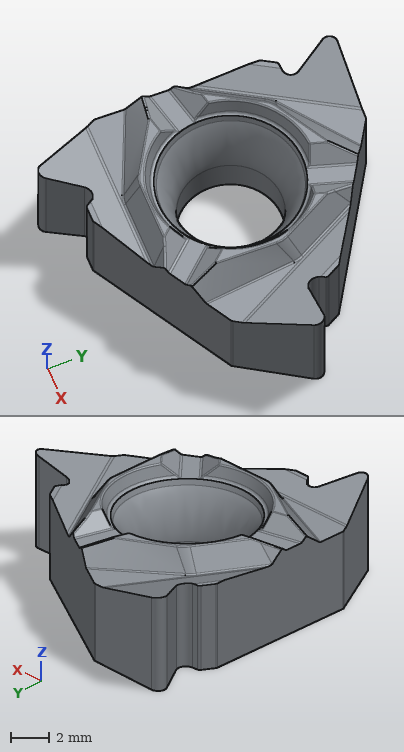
import cadquery as cq
import math

TOOTH_PITCH = 120
TOOTH_ANGLES = (0, TOOTH_PITCH, 2 * TOOTH_PITCH)

height = 5.85
side_distance = 6.37
side_angle = TOOTH_PITCH - 90
corner_radius = 0.2

tip_x = -3.87
tip_y = -9.28
tip_radius = 0.47
flank_angle = 28.5

relief_x = -2.03
relief_top_y = -6.99
shoulder_y = -7.58
shoulder_slope = 55
shoulder_land_y = -7.27

floor_z = 4.6
rake_start_y = -5.73
rake_angle = 15
rake_blend_radius = 0.6

foot_y = -5.57
rim_y = -4.65
foot_bend_x = -1.25
rim_bend_x = -1.45
foot_bend_angle = 22.3
rim_bend_angle = 30
bend_radius = 1.4
flare_foot_x = 3.15
flare_rim_x = 2.6
flare_angle = 7
foot_blend_radius = 0.14
rim_round = 0.1

groove_z = 5.08
groove_angle = 13.6
groove_width = 1.09
groove_wall_angle = 38
groove_blend_radius = 0.21

hole_radius = 5.7 / 2
seat_bottom_z = 1.98
seat_top_z = 4.78
seat_radius = 3.9
ledge_inner_radius = 4.03
ledge_outer_radius = 4.18
recess_rim_radius = 4.52
ledge_round = 0.21

reach = 10.5
clearance = 0.88


def turned(shape, angle):
    return shape.rotate((0, 0, 0), (0, 0, 1), angle)


def cosine(angle):
    return math.cos(math.radians(angle))


def sine(angle):
    return math.sin(math.radians(angle))


def tangent(angle):
    return math.tan(math.radians(angle))


def step(start, length, angle):
    """Point reached from start by going a length in a direction given in degrees."""
    return (start[0] + length * cosine(angle), start[1] + length * sine(angle))


def turn_point(point, angle):
    x, y = point
    return (x * cosine(angle) - y * sine(angle), x * sine(angle) + y * cosine(angle))


def make_tooth_points():
    """Outline points around the -Y tooth, from its left flank to the end of its shoulder."""
    tip_centre = (tip_x, tip_y + tip_radius)
    tip_left = step(tip_centre, tip_radius, 180 + flank_angle)
    tip_right = step(tip_centre, tip_radius, -flank_angle)
    flank_start_y = tip_left[1] + (tip_left[0] + side_distance) / tangent(flank_angle)

    peak_to_flank = ((relief_x - tip_right[0]) * cosine(flank_angle)
                     - (relief_top_y - tip_right[1]) * sine(flank_angle))
    relief_radius = peak_to_flank / (1 - sine(flank_angle))
    relief_centre = (relief_x, relief_top_y - relief_radius)
    relief_start = step(relief_centre, relief_radius, 180 - flank_angle)
    relief_end = step(relief_centre, relief_radius, 90 - shoulder_slope)

    shoulder_start_x = relief_end[0] + (relief_end[1] - shoulder_y) / tangent(shoulder_slope)
    shoulder_end_x = (side_distance + shoulder_y * cosine(side_angle)) / sine(side_angle)
    return {
        "flank_start": (-side_distance, flank_start_y),
        "tip_left": tip_left,
        "tip": (tip_x, tip_y),
        "tip_right": tip_right,
        "relief_start": relief_start,
        "relief_top": (relief_x, relief_top_y),
        "relief_end": relief_end,
        "shoulder_start": (shoulder_start_x, shoulder_y),
        "shoulder_end": (shoulder_end_x, shoulder_y),
    }


def make_body():
    tooth_points = make_tooth_points()
    outline = cq.Workplane("XY").moveTo(*tooth_points["flank_start"])
    for angle in TOOTH_ANGLES:
        p = {name: turn_point(point, angle) for name, point in tooth_points.items()}
        outline = (
            outline.lineTo(*p["tip_left"])
            .threePointArc(p["tip"], p["tip_right"])
            .lineTo(*p["relief_start"])
            .threePointArc(p["relief_top"], p["relief_end"])
            .lineTo(*p["shoulder_start"])
            .lineTo(*p["shoulder_end"])
            .lineTo(*turn_point(tooth_points["flank_start"], angle + TOOTH_PITCH))
        )
    body = outline.close().extrude(height)

    for angle in TOOTH_ANGLES:
        for name in ("flank_start", "shoulder_start", "shoulder_end"):
            x, y = turn_point(tooth_points[name], angle)
            corner = cq.selectors.NearestToPointSelector((x, y, height / 2))
            body = body.edges("|Z").edges(corner).fillet(corner_radius)
    return body


def wall_outline(workplane, wall_y, bend_x, bend_angle, flare_x):
    """Closed outline whose inner side follows the island wall at one level."""
    bend = (bend_x, wall_y)
    bend_length = bend_radius * tangent(bend_angle / 2)
    left_end = step(bend, reach, 180 - bend_angle)
    right_end = step((flare_x, wall_y), reach, -flare_angle)
    return (
        workplane.moveTo(*left_end)
        .lineTo(*step(bend, bend_length, 180 - bend_angle))
        .tangentArcPoint((bend_x + bend_length, wall_y), relative=False)
        .lineTo(flare_x, wall_y)
        .lineTo(*right_end)
        .lineTo(right_end[0], -2 * reach)
        .lineTo(left_end[0], -2 * reach)
        .close()
    )


def make_seat_cutter():
    """Space above the floor and the rake face, outside the island wall."""
    floor_plane = cq.Workplane("XY", origin=(0, 0, floor_z))
    foot = wall_outline(floor_plane, foot_y, foot_bend_x, foot_bend_angle, flare_foot_x)
    top_plane = foot.workplane(offset=height - floor_z)
    foot_and_rim = wall_outline(top_plane, rim_y, rim_bend_x, rim_bend_angle, flare_rim_x)
    wall_foot = cq.selectors.BoxSelector((-reach, -reach, 0), (reach, reach, height))
    outside_wall = foot_and_rim.loft(ruled=True).faces("<Z").edges(wall_foot).fillet(foot_blend_radius)

    rake_run = reach + rake_start_y
    blend_length = rake_blend_radius * tangent(rake_angle / 2)
    above_rake = (
        cq.Workplane("YZ", origin=(-2 * reach, 0, 0))
        .moveTo(reach, floor_z)
        .lineTo(rake_start_y + blend_length, floor_z)
        .tangentArcPoint((rake_start_y - blend_length * cosine(rake_angle),
                          floor_z + blend_length * sine(rake_angle)), relative=False)
        .lineTo(-reach, floor_z + rake_run * tangent(rake_angle))
        .lineTo(-reach, height + clearance)
        .lineTo(reach, height + clearance)
        .close()
        .extrude(4 * reach)
    )
    return outside_wall.intersect(above_rake)


def make_shoulder_land_cutter():
    """Levels the rake face along the outer strip of the shoulder."""
    land_z = floor_z + (rake_start_y - shoulder_land_y) * tangent(rake_angle)
    corner = (relief_x, shoulder_land_y - reach, land_z)
    return cq.Workplane("XY", origin=corner).box(reach, reach, height, centered=False)


def make_groove_cutter():
    """Trapezoidal groove running outwards from the hole towards -X."""
    top_z = height + clearance
    half_floor = groove_width / 2
    half_top = half_floor + (top_z - groove_z) / tangent(groove_wall_angle)
    groove = (
        cq.Workplane("YZ")
        .polyline([(-half_floor, groove_z), (half_floor, groove_z), (half_top, top_z), (-half_top, top_z)])
        .close()
        .extrude(-reach)
        .faces("<Z").edges("|X").fillet(groove_blend_radius)
    )
    return turned(groove, groove_angle)


def make_hole_cutter():
    """Through hole with a trumpet-shaped seat, opening into a tapered recess with a narrow ledge."""
    hole = (
        cq.Workplane("XZ")
        .moveTo(0, -clearance)
        .lineTo(hole_radius, -clearance)
        .lineTo(hole_radius, seat_bottom_z)
        .tangentArcPoint((seat_radius, seat_top_z), relative=False)
        .lineTo(ledge_inner_radius, groove_z)
        .lineTo(ledge_inner_radius, height)
        .lineTo(0, height)
        .close()
        .revolve(360, (0, 0, 0), (0, 1, 0))
    )
    recess = (
        cq.Workplane("XY", origin=(0, 0, groove_z))
        .circle(ledge_outer_radius)
        .workplane(offset=height - groove_z)
        .circle(recess_rim_radius)
        .loft(ruled=True)
        .faces("<Z").edges().fillet(ledge_round)
    )
    return hole.union(recess)


def round_island_edges(insert):
    """Rounds the upper edges of the island: its rim and where the grooves and the recess cut in."""
    upper_half_z = (groove_z + height) / 2
    upper_edges = []
    for edge in insert.edges().vals():
        centre = edge.Center()
        if centre.z > upper_half_z and math.hypot(centre.x, centre.y) < side_distance:
            upper_edges.append(edge)
    return insert.newObject(upper_edges).fillet(rim_round)


insert = make_body().cut(make_hole_cutter())
tooth_cutters = (make_seat_cutter(), make_shoulder_land_cutter(), make_groove_cutter())
for tooth_angle in TOOTH_ANGLES:
    for cutter in tooth_cutters:
        insert = insert.cut(turned(cutter, tooth_angle))

result = round_island_edges(insert)